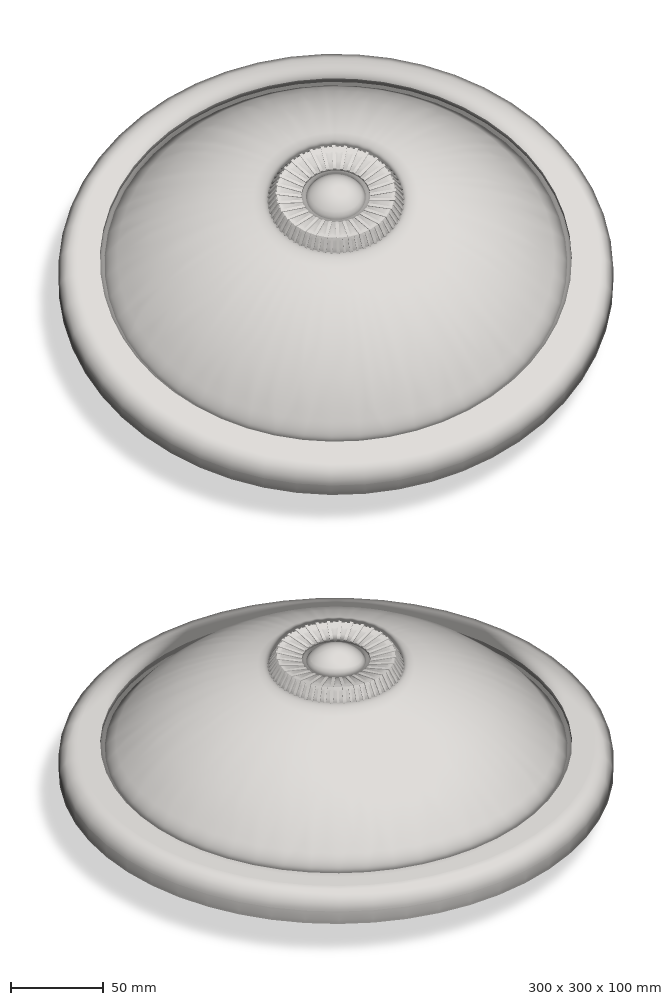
import cadquery as cq

RIM_RADIUS = 150.0
RIM_BOTTOM_Z = 20.0
RIM_TOP_Z = 38.0
RIM_FILLET = 10.0

BASE_TOP_RADIUS = 117.5
BASE_BOTTOM_RADIUS = 111.5
BASE_BOTTOM_Z = 3.0
BASE_FILLET = 5.0

FOOT_COUNT = 3
FOOT_CIRCLE_RADIUS = 87.0
FOOT_TOP_RADIUS = 9.5
FOOT_BOTTOM_RADIUS = 5.0

DOME_RADIUS = 125.0
DOME_CURVE_RADIUS = 142.0
GROOVE_WIDTH = 2.5
GROOVE_FLOOR_Z = 35.0

RIB_HEIGHT = 0.6
CROWN_BASE_RADIUS = 37.0 - RIB_HEIGHT
CROWN_BASE_Z = 88.3
CROWN_TOP_RADIUS = 32.5 - RIB_HEIGHT
CROWN_TOP_Z = 96.0 - RIB_HEIGHT
CROWN_INNER_RADIUS = 18.5
CROWN_INNER_Z = 92.4
CROWN_FLOOR_Z = 91.5

RIB_COUNT = 32
RIB_PITCH = 360.0 / RIB_COUNT
RIB_WIDTH = 1.75
FLANK_RIB_WIDTH = 1.2
RIB_ROOT_DEPTH = 1.5

BALL_TOP_Z = 100.0
BALL_RADIUS = 19.5


def rotated_about_z(shape, angle):
    return shape.rotate((0, 0, 0), (0, 0, 1), angle)


def make_body():
    """Base, rim, dome and crown core as one revolved section."""
    groove_radius = DOME_RADIUS + GROOVE_WIDTH
    section = (
        cq.Workplane("XZ")
        .moveTo(0, BASE_BOTTOM_Z)
        .lineTo(BASE_BOTTOM_RADIUS, BASE_BOTTOM_Z)
        .lineTo(BASE_TOP_RADIUS, RIM_BOTTOM_Z)
        .lineTo(RIM_RADIUS, RIM_BOTTOM_Z)
        .lineTo(RIM_RADIUS, RIM_TOP_Z)
        .lineTo(groove_radius, RIM_TOP_Z)
        .lineTo(groove_radius, GROOVE_FLOOR_Z)
        .lineTo(DOME_RADIUS, GROOVE_FLOOR_Z)
        .radiusArc((CROWN_BASE_RADIUS, CROWN_BASE_Z), -DOME_CURVE_RADIUS)
        .lineTo(CROWN_TOP_RADIUS, CROWN_TOP_Z)
        .lineTo(CROWN_INNER_RADIUS, CROWN_INNER_Z)
        .lineTo(CROWN_INNER_RADIUS, CROWN_FLOOR_Z)
        .lineTo(0, CROWN_FLOOR_Z)
        .close()
    )
    body = section.revolve(360, (0, 0, 0), (0, 1, 0))
    outer_edges = body.edges(cq.selectors.RadiusNthSelector(-1))
    body = outer_edges.edges(">Z").fillet(RIM_FILLET)
    return body.faces("<Z").edges().fillet(BASE_FILLET)


def make_rib(outline, width):
    """Upright radial rib centred on the +X axis."""
    return cq.Workplane("XZ").polyline(outline).close().extrude(width / 2, both=True)


def add_crown_ribs(body):
    root_z = CROWN_BASE_Z - RIB_ROOT_DEPTH
    foot_radius = CROWN_BASE_RADIUS + RIB_HEIGHT
    shoulder_radius = CROWN_TOP_RADIUS + RIB_HEIGHT
    flank_root_radius = CROWN_TOP_RADIUS - RIB_ROOT_DEPTH
    flank_outer = [(foot_radius, root_z), (foot_radius, CROWN_BASE_Z)]
    full_rib = make_rib(
        flank_outer
        + [
            (shoulder_radius, CROWN_TOP_Z + RIB_HEIGHT),
            (CROWN_INNER_RADIUS, CROWN_INNER_Z + RIB_HEIGHT),
            (CROWN_INNER_RADIUS, root_z),
        ],
        RIB_WIDTH,
    )
    flank_rib = make_rib(
        flank_outer
        + [
            (shoulder_radius, CROWN_TOP_Z),
            (flank_root_radius, CROWN_TOP_Z - RIB_ROOT_DEPTH),
            (flank_root_radius, root_z),
        ],
        FLANK_RIB_WIDTH,
    )
    ribs = []
    for index in range(RIB_COUNT):
        angle = index * RIB_PITCH
        ribs.append(rotated_about_z(flank_rib, angle).val())
        ribs.append(rotated_about_z(full_rib, angle + RIB_PITCH / 2).val())
    return cq.Workplane(obj=body.val().fuse(*ribs))


def make_ball():
    return cq.Workplane("XY").sphere(BALL_RADIUS).translate((0, 0, BALL_TOP_Z - BALL_RADIUS))


def make_feet():
    """Cones that narrow from the base down to Z = 0."""
    foot = (
        cq.Workplane("XZ")
        .lineTo(FOOT_BOTTOM_RADIUS, 0)
        .lineTo(FOOT_TOP_RADIUS, BASE_BOTTOM_Z)
        .lineTo(0, BASE_BOTTOM_Z)
        .close()
        .revolve(360, (0, 0, 0), (0, 1, 0))
        .translate((0, FOOT_CIRCLE_RADIUS, 0))
    )
    feet = cq.Workplane("XY")
    for index in range(FOOT_COUNT):
        feet = feet.add(rotated_about_z(foot, index * 360.0 / FOOT_COUNT))
    return feet.combine()


result = add_crown_ribs(make_body()).union(make_ball()).union(make_feet())